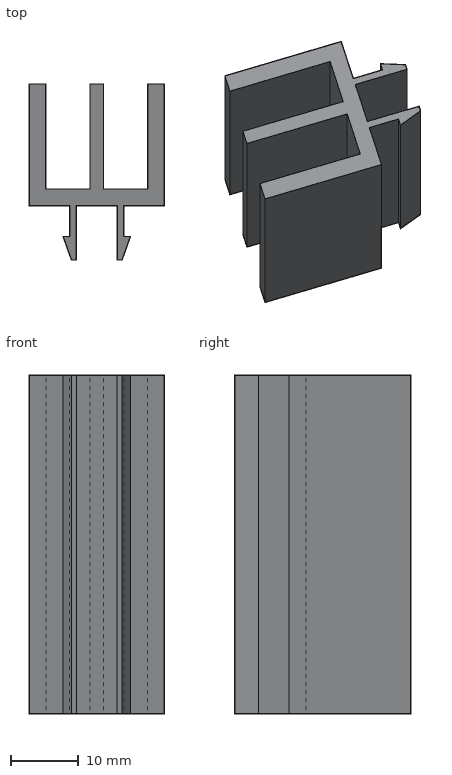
import cadquery as cq

length = 50.0
body_width = 20.0
body_depth = 18.0

wall = 2.5
floor = 2.5
rib_thickness = 2.0

leg_length = 8.0
leg_gap = 6.0
leg_thickness = 1.0
barb_overhang = 1.0
barb_height = 3.5
tip_width = 0.75


def make_body():
    """Channel with two open slots separated by a central rib."""
    slot_width = (body_width - rib_thickness) / 2 - wall
    slot_offset = (rib_thickness + slot_width) / 2
    slot_depth = body_depth - floor
    block = cq.Workplane("XY").box(body_width, body_depth, length, centered=(True, False, False))
    slots = (
        cq.Workplane("XY")
        .pushPoints([(-slot_offset, floor + slot_depth / 2), (slot_offset, floor + slot_depth / 2)])
        .rect(slot_width, slot_depth)
        .extrude(length)
    )
    return block.cut(slots)


def make_leg(side):
    """Barbed leg; side is -1 for the -X leg and 1 for the +X leg."""
    inner = leg_gap / 2
    outer = inner + leg_thickness
    barb_top = barb_height - leg_length
    profile = [
        (inner, floor),
        (outer, floor),
        (outer, barb_top),
        (outer + barb_overhang, barb_top),
        (inner + tip_width, -leg_length),
        (inner, -leg_length),
    ]
    return cq.Workplane("XY").polyline([(side * x, y) for x, y in profile]).close().extrude(length)


result = make_body()
for side in (-1, 1):
    result = result.union(make_leg(side))